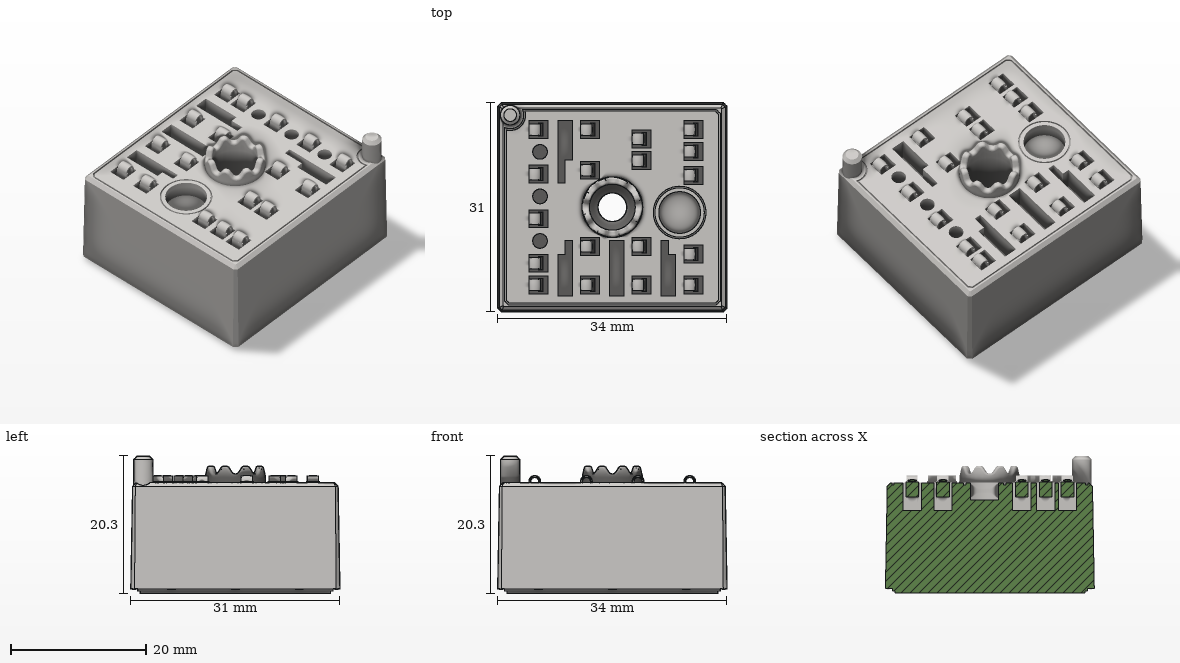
import cadquery as cq
import math

HEIGHT = 20.3
PLATE_STEP_Z = 0.3
BODY_BASE_Z = 0.65
BEVEL_Z = 15.85
TOP_Z = 16.4

BASE_LENGTH = 34
BASE_WIDTH = 31.0
WALL_TAPER = 0.27
BEVEL_INSET = 0.55
CORNER_CUT = 0.58
CUT_LOSS = 2 - math.sqrt(2)

PLATE_INSETS = [1.4, 1.02]
PAD_LENGTH = 1.15
PAD_DEPTH = 0.4
PAD_HEIGHT = 0.1
PAD_X = 10.95
PAD_Y = 9.45

GROOVE_INSET = 1.02
GROOVE_WIDTH = 0.27
GROOVE_DEPTH = 0.35
GROOVE_CORNER_CUT = 0.6

PIN_X = -15.13
PIN_Y = 13.63
PIN_BASE_DIAMETER = 2.92
PIN_TOP_DIAMETER = 2.9
PIN_CHAMFER = 0.5
PIN_LAND_RADIUS = 2.0

BORE_DIAMETER = 6.8
SCREW_HOLE_DIAMETER = 4.2
SEAT_Z = 4.08
COLLAR_BASE_DIAMETER = 9.0
COLLAR_TOP_DIAMETER = 8.75
COLLAR_TOP_Z = 18.83
TOOTH_COUNT = 8
TOOTH_HEIGHT = 1.15
NOTCH_HALF_ANGLE = 21
FLANK_ANGLE = 55
TOOTH_FILLET = 0.3

RECESS_X = 9.95
RECESS_Y = -0.78
RECESS_DIAMETER = 6.2
RECESS_DEPTH = 2.5
RING_INNER_DIAMETER = 7.3
RING_OUTER_DIAMETER = 7.8

POCKET_DEPTH = 4.08
POCKET_LENGTH = 2.82
POCKET_WIDTH = 2.65
FIRST_COLUMN_X = -11.5
COLUMN_PITCH = 7.65
SPRING_RADIUS = 0.9
SPRING_CROWN = 0.07
SPRING_THICKNESS = 0.25
SPRING_CENTER_Z = 16.55
SPRING_WIDTH = 1.7
LEG_WIDTH = 1.95
LEG_SPREAD = 0.45
END_ROW = 11.5
LEFT_PITCH = 6.6
MIDDLE_ROW = -5.8
SPRING_ROWS = [
    [END_ROW, END_ROW - LEFT_PITCH, END_ROW - 2 * LEFT_PITCH, END_ROW - 3 * LEFT_PITCH, -END_ROW],
    [END_ROW, 5.47, MIDDLE_ROW, -END_ROW],
    [10.13, 6.9, MIDDLE_ROW, -END_ROW],
    [END_ROW, 8.25, 4.72, -6.95, -END_ROW],
]

SMALL_HOLE_X = -10.7
SMALL_HOLE_DIAMETER = 2.18
SMALL_HOLE_COUNT = 3

SLOT_WIDTH = 2.15
SLOT_LEFT_X = -7.0
SLOT_BACK_Y = 12.8
SLOT_BACK_END = 3.6
SLOT_STEP_Y = 7.0
SLOT_FRONT_END = -4.9
SLOT_FRONT_Y = -13.12


def outline(inset, z, cut):
    """Bevelled-corner rectangle, inset from the base outline, as a wire at height z."""
    x = BASE_LENGTH / 2 - inset
    y = BASE_WIDTH / 2 - inset
    points = [
        (x - cut, y), (-x + cut, y), (-x, y - cut), (-x, -y + cut),
        (-x + cut, -y), (x - cut, -y), (x, -y + cut), (x, y - cut),
    ]
    return cq.Wire.makePolygon([cq.Vector(px, py, z) for px, py in points], close=True)


def prism(inset, cut, z_low, z_high):
    """Bevelled-corner block between two heights."""
    rise = cq.Vector(0, 0, z_high - z_low)
    return cq.Workplane(cq.Solid.extrudeLinear(outline(inset, z_low, cut), [], rise))


def box(x_low, x_high, y_low, y_high, z_low, z_high):
    size = (x_high - x_low, y_high - y_low, z_high - z_low)
    return cq.Workplane().box(*size, centered=False).translate((x_low, y_low, z_low))


def cylinder(x, y, diameter, z_low, z_high):
    return cq.Workplane().circle(diameter / 2).extrude(z_high - z_low).translate((x, y, z_low))


def housing():
    taper_cut = CORNER_CUT - WALL_TAPER * CUT_LOSS
    top_cut = taper_cut - BEVEL_INSET * CUT_LOSS
    base = outline(0, BODY_BASE_Z, CORNER_CUT)
    shoulder = outline(WALL_TAPER, BEVEL_Z, taper_cut)
    top = outline(WALL_TAPER + BEVEL_INSET, TOP_Z, top_cut)
    walls = cq.Workplane(cq.Solid.makeLoft([base, shoulder], True))
    bevel = cq.Workplane(cq.Solid.makeLoft([shoulder, top], True))
    return walls.union(bevel)


def underside():
    levels = [0, PLATE_STEP_Z, BODY_BASE_Z]
    plates = cq.Workplane()
    for inset, low, high in zip(PLATE_INSETS, levels, levels[1:]):
        block = cq.Workplane().box(BASE_LENGTH - 2 * inset, BASE_WIDTH - 2 * inset, high - low)
        plates = plates.union(block.translate((0, 0, (low + high) / 2)))
    pad_x = BASE_LENGTH / 2 - PLATE_INSETS[1] / 2
    pad_y = BASE_WIDTH / 2 - PLATE_INSETS[1] / 2
    pad_z = BODY_BASE_Z - PAD_HEIGHT / 2
    for side in (-1, 1):
        for step in (-1, 0, 1):
            along_x = cq.Workplane().box(PAD_LENGTH, PAD_DEPTH, PAD_HEIGHT)
            along_y = cq.Workplane().box(PAD_DEPTH, PAD_LENGTH, PAD_HEIGHT)
            plates = plates.union(along_x.translate((step * PAD_X, side * pad_y, pad_z)))
            plates = plates.union(along_y.translate((side * pad_x, step * PAD_Y, pad_z)))
    return plates


def lid_groove():
    """Groove that runs around the lid and swings around the land of the pin."""
    floor_z = TOP_Z - GROOVE_DEPTH
    inner_cut = GROOVE_CORNER_CUT - GROOVE_WIDTH * CUT_LOSS
    outside = prism(GROOVE_INSET, GROOVE_CORNER_CUT, floor_z, TOP_Z)
    lid = prism(GROOVE_INSET + GROOVE_WIDTH, inner_cut, floor_z, TOP_Z)
    land = cylinder(PIN_X, PIN_Y, 2 * PIN_LAND_RADIUS, floor_z, TOP_Z)
    wide_land = cylinder(PIN_X, PIN_Y, 2 * (PIN_LAND_RADIUS + GROOVE_WIDTH), floor_z, TOP_Z)
    return outside.cut(land).cut(lid.cut(wide_land))


def pin():
    profile = [
        (0, BEVEL_Z),
        (PIN_BASE_DIAMETER / 2, BEVEL_Z),
        (PIN_TOP_DIAMETER / 2, HEIGHT - PIN_CHAMFER),
        (PIN_TOP_DIAMETER / 2 - PIN_CHAMFER, HEIGHT),
        (0, HEIGHT),
    ]
    return cq.Workplane("XZ").polyline(profile).close().revolve(360).translate((PIN_X, PIN_Y, 0))


def notch_profile(radius):
    """Closed valley outline at a distance from the bore axis.

    Each side is a crest arc, a straight flank and a valley arc of equal radius.
    """
    half_width = radius * math.tan(math.radians(NOTCH_HALF_ANGLE))
    flank = math.radians(FLANK_ANGLE)
    fill = half_width * math.sin(flank) - TOOTH_HEIGHT * math.cos(flank)
    arc_radius = fill / (2 * (1 - math.cos(flank)))

    def arc_point(turn):
        return arc_radius * math.sin(turn), arc_radius * (1 - math.cos(turn))

    valley_z = COLLAR_TOP_Z - TOOTH_HEIGHT
    run, rise = arc_point(flank)
    middle_run, middle_rise = arc_point(flank / 2)
    crest_end = (half_width - run, COLLAR_TOP_Z - rise)
    crest_middle = (half_width - middle_run, COLLAR_TOP_Z - middle_rise)
    return (
        cq.Workplane("XZ", origin=(0, -radius, 0))
        .moveTo(-half_width, COLLAR_TOP_Z)
        .threePointArc((-crest_middle[0], crest_middle[1]), (-crest_end[0], crest_end[1]))
        .lineTo(-run, valley_z + rise)
        .threePointArc((0, valley_z), (run, valley_z + rise))
        .lineTo(*crest_end)
        .threePointArc(crest_middle, (half_width, COLLAR_TOP_Z))
        .close()
        .val()
    )


def collar():
    """Tapered ring whose top is cut into rounded teeth with rounded edges."""
    profile = [
        (BORE_DIAMETER / 2, BEVEL_Z),
        (COLLAR_BASE_DIAMETER / 2, BEVEL_Z),
        (COLLAR_BASE_DIAMETER / 2, TOP_Z),
        (COLLAR_TOP_DIAMETER / 2, COLLAR_TOP_Z),
        (BORE_DIAMETER / 2, COLLAR_TOP_Z),
    ]
    ring = cq.Workplane("XZ").polyline(profile).close().revolve(360)
    notch_radii = [BORE_DIAMETER / 2 - 0.35, COLLAR_BASE_DIAMETER / 2 + 0.35]
    notch = cq.Workplane(cq.Solid.makeLoft([notch_profile(radius) for radius in notch_radii], True))
    for index in range(TOOTH_COUNT):
        ring = ring.cut(notch.rotate((0, 0, 0), (0, 0, 1), index * 360 / TOOTH_COUNT))
    reach = COLLAR_BASE_DIAMETER
    teeth_zone = cq.selectors.BoxSelector((-reach, -reach, TOP_Z + 0.35), (reach, reach, HEIGHT))
    return ring.edges(teeth_zone).edges("not %LINE").fillet(TOOTH_FILLET)


def screw_bore():
    """Stepped bore with a conical seat for the screw head."""
    seat_rise = (BORE_DIAMETER - SCREW_HOLE_DIAMETER) / 2
    profile = [
        (0, 0),
        (SCREW_HOLE_DIAMETER / 2, 0),
        (SCREW_HOLE_DIAMETER / 2, SEAT_Z),
        (BORE_DIAMETER / 2, SEAT_Z + seat_rise),
        (BORE_DIAMETER / 2, HEIGHT),
        (0, HEIGHT),
    ]
    return cq.Workplane("XZ").polyline(profile).close().revolve(360)


def round_recess():
    recess = cylinder(RECESS_X, RECESS_Y, RECESS_DIAMETER, TOP_Z - RECESS_DEPTH, TOP_Z)
    ring = cylinder(RECESS_X, RECESS_Y, RING_OUTER_DIAMETER, TOP_Z - GROOVE_DEPTH, TOP_Z)
    core = cylinder(RECESS_X, RECESS_Y, RING_INNER_DIAMETER, TOP_Z - GROOVE_DEPTH, TOP_Z)
    return recess.union(ring.cut(core))


def slots():
    floor_z = TOP_Z - POCKET_DEPTH
    half = SLOT_WIDTH / 2
    left, middle, right = [SLOT_LEFT_X + index * COLUMN_PITCH for index in range(3)]
    step = SLOT_STEP_Y
    spans = [
        (left - half, left + half, step, SLOT_BACK_Y),
        (left - half, left, SLOT_BACK_END, step),
        (left - half, left + half, SLOT_FRONT_Y, -step),
        (left, left + half, -step, SLOT_FRONT_END),
        (middle - half, middle + half, SLOT_FRONT_Y, SLOT_FRONT_END),
        (right - half, right + half, SLOT_FRONT_Y, -step),
        (right - half, right, -step, SLOT_FRONT_END),
    ]
    cutter = cq.Workplane()
    for span in spans:
        cutter = cutter.union(box(*span, floor_z, TOP_Z))
    return cutter


def small_holes():
    cutter = cq.Workplane()
    for index in range(SMALL_HOLE_COUNT):
        y = END_ROW - (index + 0.5) * LEFT_PITCH
        cutter = cutter.union(cylinder(SMALL_HOLE_X, y, SMALL_HOLE_DIAMETER, TOP_Z - POCKET_DEPTH, TOP_Z))
    return cutter


def spring_places():
    """Arch centres of all spring contacts."""
    places = []
    for column, rows in enumerate(SPRING_ROWS):
        x = FIRST_COLUMN_X + column * COLUMN_PITCH
        places += [(x, y) for y in rows]
    return places


def spring_pocket():
    half = POCKET_WIDTH / 2
    left = -SPRING_RADIUS
    return box(left, left + POCKET_LENGTH, -half, half, TOP_Z - POCKET_DEPTH, TOP_Z)


def spring():
    """Bent strip: a crowned arch on a straight leg and a wider, splayed leg."""
    floor_z = TOP_Z - POCKET_DEPTH
    half = SPRING_WIDTH / 2
    outer = SPRING_RADIUS - SPRING_CROWN
    inner = outer - SPRING_THICKNESS
    arch = (
        cq.Workplane()
        .moveTo(inner, -half)
        .lineTo(outer, -half)
        .threePointArc((outer + SPRING_CROWN, 0), (outer, half))
        .lineTo(inner, half)
        .threePointArc((inner + SPRING_CROWN, 0), (inner, -half))
        .close()
        .revolve(180, (0, 0), (0, -1))
        .translate((0, 0, SPRING_CENTER_Z))
    )
    straight_leg = box(-SPRING_RADIUS, -inner, -half, half, floor_z, SPRING_CENTER_Z)
    splayed_leg = (
        cq.Workplane("XZ")
        .moveTo(inner, SPRING_CENTER_Z)
        .lineTo(outer, SPRING_CENTER_Z)
        .lineTo(outer + LEG_SPREAD, floor_z)
        .lineTo(inner + LEG_SPREAD, floor_z)
        .close()
        .extrude(LEG_WIDTH / 2, both=True)
    )
    return arch.union(straight_leg).union(splayed_leg)


result = housing().union(underside()).union(pin()).union(collar())
result = result.cut(lid_groove()).cut(screw_bore()).cut(round_recess())
result = result.cut(slots()).cut(small_holes())
for x, y in spring_places():
    result = result.cut(spring_pocket().translate((x, y, 0)))
    result = result.union(spring().translate((x, y, 0)))